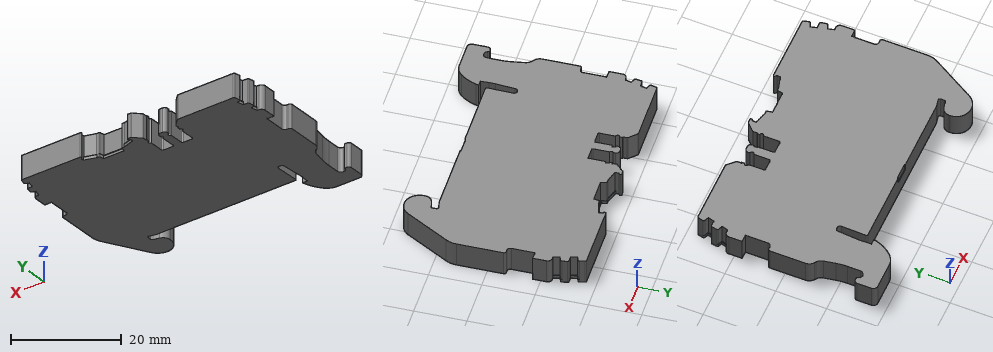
import math

import cadquery as cq

length = 52.2
width = 36.05
thickness = 5.15

body_left = 0.45
body_middle = (body_left + length) / 2
rail_face_y = 6.2

slot_floor_y = 29.0
first_slot = (16.8, 19.3)
second_slot = (21.15, 23.8)
slot_corner_radius = 0.25
post_top_y = 34.05
post_top_radius = 0.65
slot_chamfer = 1.55
slot_mouth_y = width - slot_chamfer
mouth_radius = 0.15
lip_top_y = 33.6
lip_width = 0.15
detent_y = 32.65
detent_radius = 0.35
shallow_detent_shift = 0.15

marker_middle = 31.65
marker_floor_half = 2.3
marker_floor_y = 32.9
marker_shelf_half = 2.5
marker_slope_half = 3.2
marker_shelf_y = 34.05
marker_undercut_half = 5.55
marker_undercut_y = 34.75
marker_undercut_top_y = 35.45
marker_hook_half = 5.2
marker_hook_y = 35.7
marker_rounding = 0.15
marker_hook_radius = 0.1

tooth_lean = math.radians(15)
tooth_pitch = 3.2
groove_count = 2
tooth_step_x = tooth_pitch * math.sin(tooth_lean)
tooth_step_y = tooth_pitch * math.cos(tooth_lean)
tooth_radius = 0.25
tooth_bottom = (1.95, 34.65)
tooth_top_x = 1.35
end_top_x = 2.3
groove_top = (3.0, 34.25)
groove_wall = 1.25
groove_bottom = (
    groove_top[0] - groove_wall * math.sin(tooth_lean),
    groove_top[1] - groove_wall * math.cos(tooth_lean),
)

notch_depth = 1.5
notch_top_y = 26.5
notch_bottom_y = 21.45
notch_radius = 0.65
notch_sill_radius = 0.4
notch_shoulder_radius = 0.85

foot_radius = 2.9
foot_left = 41.3
foot_bottom = 0.2
foot_lean = math.radians(30)
foot_corner_x = foot_left + foot_radius + foot_radius * math.tan(math.pi / 4 - foot_lean / 2)
foot_slope_top_y = foot_bottom + (length - foot_corner_x) / math.tan(foot_lean)
foot_slope_radius = 4.2
foot_crown_y = 4.6
foot_crown_radius = 1.55
undercut_x = 44.05
undercut_bottom_y = 5.2
undercut_top_y = 6.6
undercut_radius = 0.3
undercut_start_x = 42.15

latch_slot_top_y = 11.95
latch_slot_left = 9.45
latch_slot_right = 10.7
latch_slot_radius = 0.6
latch_slot_mouth_x = 10.55
latch_bulge = (9.1, 7.05)
latch_bulge_radius = 10.45
latch_barb_y = 4.8
latch_barb_root_x = 9.2
latch_barb_tip_x = 10.3
latch_nose = (9.65, 2.45)
latch_nose_radius = 7.85
latch_toe_x = 7.45
latch_toe_radius = 3.15
latch_heel_radius = 0.9
hook_top_y = 4.35
hook_radius = 0.65
hook_inner_x = 1.15
hook_groove_left = 1.4
hook_groove_right = 2.8
hook_groove_y = 3.5
hook_groove_radii = (0.7, 0.8)
leg_bend_y = 7.9
leg_bend_radius = 12.5
leg_shoulder = (2.1, 12.0)
leg_shoulder_radius = 1.8
body_corner_y = 13.15
body_corner_radius = 1.7

shortest_line = 5.22e-05

window_width = 3.25
window_height = 1.45
window_depth = 0.15
window_radius = 0.3

ledge_width = 0.15
ledge_height = 0.7


def mirror_end(points):
    """Reflect outline corners to the other end of the body, keeping the travel direction."""
    return [(2 * body_middle - x, y, r) for x, y, r in reversed(points)]


def left_end(fill):
    """Corners of the left end, climbing from the side notch to the +Y edge.

    The tooth grooves are made shallower by fill.
    """
    notch_x = body_left + notch_depth
    corners = [
        (body_left, notch_bottom_y, notch_sill_radius),
        (notch_x, notch_bottom_y, notch_radius),
        (notch_x, notch_top_y, 0),
        (body_left, notch_top_y, 0),
        (body_left, groove_bottom[1] - tooth_step_y, notch_shoulder_radius),
    ]
    for tooth in reversed(range(groove_count)):
        dx = tooth * tooth_step_x
        dy = tooth * tooth_step_y
        corners += [
            (groove_bottom[0] - fill - dx, groove_bottom[1] - dy, 0),
            (groove_top[0] - fill - dx, groove_top[1] + fill * math.tan(tooth_lean) - dy, 0),
            (tooth_bottom[0] - dx, tooth_bottom[1] - dy, tooth_radius),
        ]
        if tooth > 0:
            upper = tooth - 1
            tip_x = tooth_top_x - upper * tooth_step_x
            tip_y = groove_bottom[1] - upper * tooth_step_y
            corners.append((tip_x, tip_y, tooth_radius))
    corners.append((end_top_x, width, tooth_radius))
    return corners


def rounded_outline(corners):
    """Closed wire through (x, y, radius) corners, each rounded by its radius."""
    count = len(corners)
    edges = []
    pen = None
    first = None
    for i, (x, y, radius) in enumerate(corners):
        here = cq.Vector(x, y, 0)
        back = (cq.Vector(*corners[i - 1][:2], 0) - here).normalized()
        ahead = (cq.Vector(*corners[(i + 1) % count][:2], 0) - here).normalized()
        start = end = here
        arc = None
        if radius:
            half = back.getAngle(ahead) / 2
            start = here + back * (radius / math.tan(half))
            end = here + ahead * (radius / math.tan(half))
            bisector = (back + ahead).normalized()
            middle = here + bisector * (radius / math.sin(half) - radius)
            arc = cq.Edge.makeThreePointArc(start, middle, end)
        if pen is None:
            first = start
        elif (start - pen).Length > shortest_line:
            edges.append(cq.Edge.makeLine(pen, start))
        if arc:
            edges.append(arc)
        pen = end
    edges.append(cq.Edge.makeLine(pen, first))
    return cq.Wire.assembleEdges(edges)


def marker_recess(fill):
    """Corners of the right half of the marker recess, as offsets from its middle.

    The floor and the slopes beside it are raised by fill.
    """
    return [
        (marker_floor_half, marker_floor_y + fill, 0),
        (marker_shelf_half, marker_shelf_y, marker_rounding),
        (marker_slope_half - fill, marker_shelf_y, 0),
        (marker_undercut_half, marker_undercut_y + fill, 0),
        (marker_undercut_half, marker_undercut_top_y, marker_rounding),
        (marker_hook_half, marker_hook_y, marker_hook_radius),
        (marker_hook_half, width, marker_rounding),
    ]


def bridge_slots():
    """Corners of the two bridge slots and the post between them, from left to right."""
    left_wall = first_slot[0]
    right_wall = second_slot[1]
    return [
        (left_wall - lip_width - slot_chamfer, width, mouth_radius),
        (left_wall - lip_width, slot_mouth_y, slot_corner_radius),
        (left_wall - lip_width, lip_top_y, 0),
        (left_wall, lip_top_y, 0),
        (left_wall, slot_floor_y, slot_corner_radius),
        (first_slot[1], slot_floor_y, slot_corner_radius),
        (first_slot[1], post_top_y, post_top_radius),
        (second_slot[0], post_top_y, post_top_radius),
        (second_slot[0], slot_floor_y, slot_corner_radius),
        (right_wall, slot_floor_y, slot_corner_radius),
        (right_wall, lip_top_y, 0),
        (right_wall + lip_width, lip_top_y, 0),
        (right_wall + lip_width, slot_mouth_y, slot_corner_radius),
        (right_wall + lip_width + slot_chamfer, width, mouth_radius),
    ]


def foot():
    """Corners of the foot, from the right end down and round to the rail face."""
    return [
        (length, foot_slope_top_y, foot_slope_radius),
        (foot_corner_x, foot_bottom, foot_radius),
        (foot_left, foot_bottom, foot_radius),
        (foot_left, foot_crown_y, foot_crown_radius),
        (undercut_x, undercut_bottom_y, undercut_radius),
        (undercut_x, undercut_top_y, undercut_radius),
        (undercut_start_x, rail_face_y, 0),
    ]


def latch():
    """Corners of the latch leg, from the rail face round the hook and up to the left end."""
    return [
        (latch_slot_mouth_x, rail_face_y, slot_corner_radius),
        (latch_slot_right, latch_slot_top_y, latch_slot_radius),
        (latch_slot_left, latch_slot_top_y, latch_slot_radius),
        (*latch_bulge, latch_bulge_radius),
        (latch_barb_root_x, latch_barb_y, 0),
        (latch_barb_tip_x, latch_barb_y, 0),
        (*latch_nose, latch_nose_radius),
        (latch_toe_x, 0, latch_toe_radius),
        (0, 0, latch_heel_radius),
        (0, hook_top_y, hook_radius),
        (hook_inner_x, hook_top_y, 0),
        (hook_groove_left, hook_groove_y, hook_groove_radii[0]),
        (hook_groove_right, hook_groove_y, hook_groove_radii[1]),
        (hook_groove_right, leg_bend_y, leg_bend_radius),
        (*leg_shoulder, leg_shoulder_radius),
        (body_left, body_corner_y, body_corner_radius),
    ]


def plate(height, fill=0):
    """Housing outline raised to height, with the grooves and the marker recess filled by fill."""
    half = marker_recess(fill)
    marker = [(marker_middle - x, y, r) for x, y, r in reversed(half)]
    marker += [(marker_middle + x, y, r) for x, y, r in half]
    corners = left_end(fill) + bridge_slots() + marker + mirror_end(left_end(fill)) + foot() + latch()
    outline = rounded_outline(corners)
    return cq.Workplane(cq.Solid.extrudeLinear(outline, [], cq.Vector(0, 0, height)))


def detents():
    """Small round grooves in the slot walls."""
    walls = [first_slot[0], first_slot[1], second_slot[0] + shallow_detent_shift, second_slot[1]]
    centres = [(x, detent_y) for x in walls]
    return cq.Workplane().pushPoints(centres).circle(detent_radius).extrude(thickness)


def window():
    """Shallow window in the rail face, open to the +Z face and rounded at its lower corners."""
    block = cq.Workplane().box(window_width, window_depth, window_height, centered=(True, False, False))
    block = block.edges("|Y and <Z").fillet(window_radius)
    return block.translate((body_middle, rail_face_y, thickness - window_height))


result = plate(thickness).union(plate(ledge_height, ledge_width)).cut(detents()).cut(window())